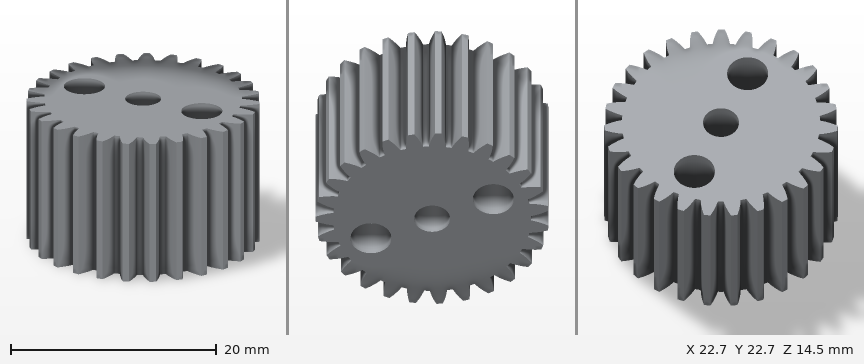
import cadquery as cq
import math

width = 22.7
height = 14.53

tooth_count = 27
tip_thickness = 0.64
flank_mid_radius = 10.55
flank_mid_thickness = 1.25
root_radius = 9.62
root_thickness = 1.68

bore_diameter = 3.5
side_hole_diameter = 4.0
side_hole_offset = 6.5

pitch_angle = 2 * math.pi / tooth_count
widest_tooth_angle = pitch_angle / 4
widest_corner_height = (width / 2) * math.tan(widest_tooth_angle) - tip_thickness / 2
tip_radius = math.hypot(width / 2, widest_corner_height)


def polar(radius, angle):
    return (radius * math.cos(angle), radius * math.sin(angle))


def half_angle(thickness, radius):
    """Angle from a tooth's centre line to a flank, for a tooth thickness at a radius."""
    return math.asin(thickness / 2 / radius)


tip_half_angle = half_angle(tip_thickness, tip_radius)
mid_half_angle = half_angle(flank_mid_thickness, flank_mid_radius)
root_half_angle = half_angle(root_thickness, root_radius)


def gear_body():
    """Toothed prism, traced counter-clockwise one tooth and one root gap at a time."""
    first_angle = math.pi / 2
    outline = cq.Workplane("XY").moveTo(*polar(root_radius, first_angle - root_half_angle))
    for index in range(tooth_count):
        tooth = first_angle + index * pitch_angle
        next_tooth = tooth + pitch_angle
        outline = (
            outline
            .threePointArc(
                polar(flank_mid_radius, tooth - mid_half_angle),
                polar(tip_radius, tooth - tip_half_angle),
            )
            .threePointArc(
                polar(tip_radius, tooth),
                polar(tip_radius, tooth + tip_half_angle),
            )
            .threePointArc(
                polar(flank_mid_radius, tooth + mid_half_angle),
                polar(root_radius, tooth + root_half_angle),
            )
            .threePointArc(
                polar(root_radius, tooth + pitch_angle / 2),
                polar(root_radius, next_tooth - root_half_angle),
            )
        )
    return outline.close().extrude(height)


def through_holes(diameter, centers):
    return cq.Workplane("XY").pushPoints(centers).circle(diameter / 2).extrude(height)


bore = through_holes(bore_diameter, [(0, 0)])
side_holes = through_holes(side_hole_diameter, [(-side_hole_offset, 0), (side_hole_offset, 0)])

result = gear_body().cut(bore).cut(side_holes)